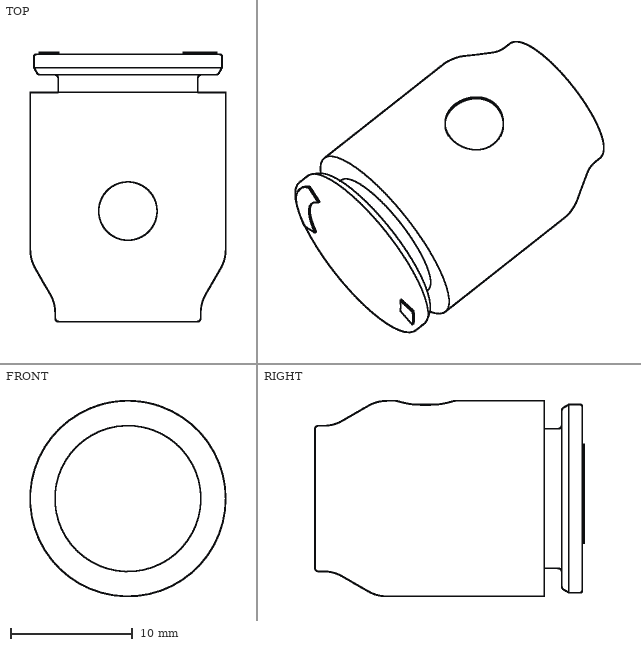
import cadquery as cq
import math

cone_angle = math.radians(30)

housing_radius = 8.05
housing_length = 18.87
nose_radius = 6.0
nose_edge_fillet = 0.3
nose_straight_end = 0.75
blend_radius = 3.0

recess_radius = 2.4
recess_depth = 0.3
recess_y = 9.1

neck_radius = 5.75
neck_fillet = 0.3
collar_radius = 7.75
collar_front = 20.3
collar_taper_length = 0.6
collar_back = 22.0
collar_front_fillet = 0.3
collar_back_fillet = 0.2

pad_height = 0.15
pad_inner_radius = 5.75
pad_outer_radius = 7.3
pad_spans = [(-30.2, 37.8), (170.4, 189.6)]


def turn(profile):
    """Revolve a closed radius-along-X, length-along-Y outline about the Y axis."""
    return profile.close().revolve(360, (0, 0, 0), (0, 1, 0))


def make_housing():
    blend_length = blend_radius * math.sin(cone_angle)
    blend_drop = blend_radius * (1 - math.cos(cone_angle))
    half_length = blend_radius * math.sin(cone_angle / 2)
    half_drop = blend_radius * (1 - math.cos(cone_angle / 2))

    taper_start_radius = nose_radius + blend_drop
    taper_end_radius = housing_radius - blend_drop
    taper_start = nose_straight_end + blend_length
    taper_end = taper_start + (taper_end_radius - taper_start_radius) / math.tan(cone_angle)
    barrel_start = taper_end + blend_length

    profile = (
        cq.Workplane("XY")
        .lineTo(nose_radius, 0)
        .lineTo(nose_radius, nose_straight_end)
        .threePointArc(
            (nose_radius + half_drop, nose_straight_end + half_length),
            (taper_start_radius, taper_start),
        )
        .lineTo(taper_end_radius, taper_end)
        .threePointArc(
            (housing_radius - half_drop, barrel_start - half_length),
            (housing_radius, barrel_start),
        )
        .lineTo(housing_radius, housing_length)
        .lineTo(0, housing_length)
    )
    body = turn(profile).faces("<Y").edges().fillet(nose_edge_fillet)
    return body.cut(make_recess_cutter())


def make_recess_cutter():
    """Vertical plug whose underside follows the barrel at a constant depth."""
    plug = (
        cq.Workplane("XY")
        .center(0, recess_y)
        .circle(recess_radius)
        .extrude(housing_radius)
    )
    floor = cq.Workplane("XZ").circle(housing_radius - recess_depth).extrude(-housing_length)
    return plug.cut(floor)


def make_collar():
    taper_drop = collar_taper_length * math.tan(cone_angle)
    front_edge_radius = collar_radius - taper_drop
    profile = (
        cq.Workplane("XY")
        .moveTo(0, housing_length)
        .lineTo(neck_radius, housing_length)
        .lineTo(neck_radius, collar_front - neck_fillet)
        .radiusArc((neck_radius + neck_fillet, collar_front), neck_fillet)
        .lineTo(front_edge_radius, collar_front)
        .lineTo(collar_radius, collar_front + collar_taper_length)
        .lineTo(collar_radius, collar_back)
        .lineTo(0, collar_back)
    )
    body = turn(profile)
    front_edge = cq.selectors.RadiusNthSelector(3)
    body = body.edges(front_edge).fillet(collar_front_fillet)
    body = body.faces(">Y").edges().fillet(collar_back_fillet)
    for start, end in pad_spans:
        body = body.union(make_pad(start, end))
    return body


def make_pad(start, end):
    def point(radius, degrees):
        angle = math.radians(degrees)
        return (radius * math.cos(angle), radius * math.sin(angle))

    middle = (start + end) / 2
    return (
        cq.Workplane("XZ", origin=(0, collar_back, 0))
        .moveTo(*point(pad_inner_radius, start))
        .lineTo(*point(pad_outer_radius, start))
        .threePointArc(point(pad_outer_radius, middle), point(pad_outer_radius, end))
        .lineTo(*point(pad_inner_radius, end))
        .threePointArc(point(pad_inner_radius, middle), point(pad_inner_radius, start))
        .close()
        .extrude(-pad_height)
    )


housing = make_housing()
collar = make_collar()

result = cq.Compound.makeCompound([housing.val(), collar.val()])